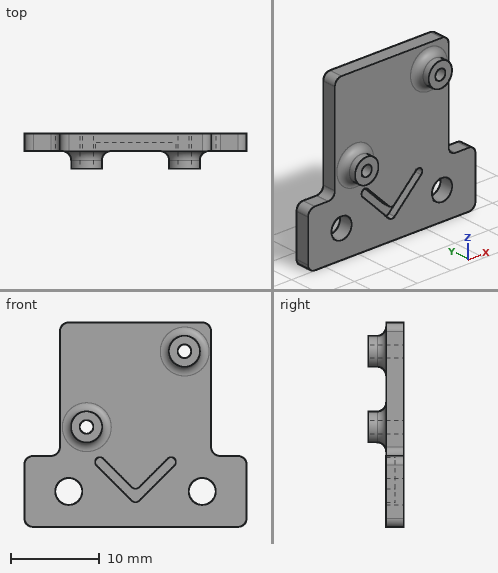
import cadquery as cq

foot_width = 25
foot_height = 8
panel_width = 17
total_height = 23
thickness = 2
corner_radius = 1

mount_hole_diameter = 3
mount_hole_spacing = 15
mount_hole_height = foot_height / 2

boss_diameter = 3.5
boss_length = 2
boss_bore = 1.5
boss_flare = 1
boss_centres = [(-5.5, 11.25), (5.5, 19.75)]

groove_width = 1.08
groove_depth = thickness / 2
groove_reach = 4
groove_apex_height = 3.3
groove_bend_radius = 0.6


def front_plane(y=0):
    """Sketch plane facing -Y, with local axes along X and Z."""
    return cq.Workplane("XZ", origin=(0, y, 0))


def make_plate():
    foot = front_plane(thickness).rect(foot_width, 2 * foot_height).extrude(thickness)
    panel = front_plane(thickness).rect(panel_width, 2 * total_height).extrude(thickness)
    keep = cq.Workplane().box(foot_width, thickness, total_height, centered=(True, False, False))
    return foot.union(panel).intersect(keep).edges("|Y").fillet(corner_radius)


def make_boss(x, z):
    """Revolve the boss profile, including its concave flare, about its axis."""
    radius = boss_diameter / 2
    profile = (
        cq.Workplane("XY", origin=(x, 0, z))
        .lineTo(radius + boss_flare, 0)
        .radiusArc((radius, -boss_flare), -boss_flare)
        .lineTo(radius, -boss_length)
        .lineTo(0, -boss_length)
        .close()
    )
    return profile.revolve(360, (0, 0, 0), (0, 1, 0))


def make_groove():
    """Cutter made of two round-ended arms that meet at a rounded bend."""
    arm_length = groove_reach * 2 ** 0.5
    half_width = groove_width / 2
    arms = (
        front_plane(groove_depth)
        .moveTo(-half_width, -half_width)
        .lineTo(arm_length, -half_width)
        .tangentArcPoint((0, groove_width))
        .lineTo(half_width, half_width)
        .lineTo(half_width, arm_length)
        .tangentArcPoint((-groove_width, 0))
        .close()
        .extrude(groove_depth)
    )
    bend_edges = cq.selectors.BoxSelector(
        (-groove_width, 0, -groove_width), (groove_width, groove_depth, groove_width)
    )
    arms = arms.edges("|Y").edges(bend_edges).fillet(groove_bend_radius)
    return arms.rotate((0, 0, 0), (0, 1, 0), -45).translate((0, 0, groove_apex_height))


result = make_plate()
for boss_x, boss_z in boss_centres:
    result = result.union(make_boss(boss_x, boss_z))

bores = (
    front_plane(thickness)
    .pushPoints(boss_centres)
    .circle(boss_bore / 2)
    .extrude(thickness + boss_length)
)
mount_holes = (
    front_plane(thickness)
    .pushPoints([(side * mount_hole_spacing / 2, mount_hole_height) for side in (-1, 1)])
    .circle(mount_hole_diameter / 2)
    .extrude(thickness)
)
result = result.cut(bores).cut(mount_holes).cut(make_groove())